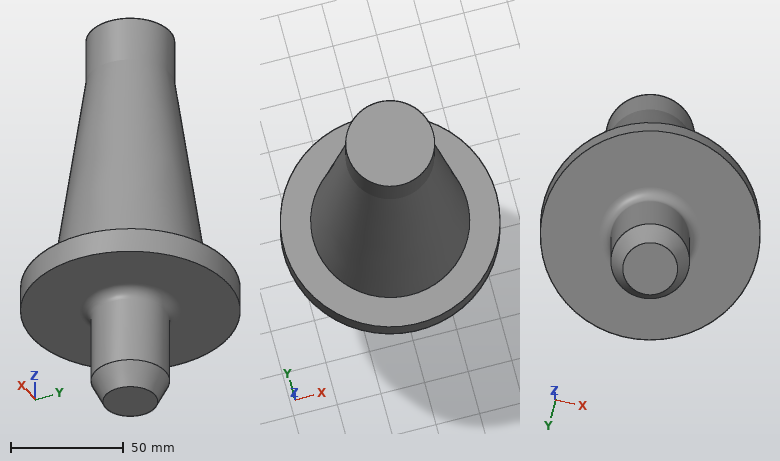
import cadquery as cq

total_height = 189.8
flange_diameter = 97.5
flange_thickness = 12.0

spigot_diameter = 35.0
spigot_length = 47.8
tip_diameter = 24.3
tip_length = 10.8
root_fillet_radius = 5.0

cone_base_diameter = 70.6
cap_diameter = 39.5
cap_length = 22.0

flange_bottom = spigot_length
flange_top = flange_bottom + flange_thickness
cap_bottom = total_height - cap_length

profile = (
    cq.Workplane("XZ")
    .moveTo(0, 0)
    .lineTo(tip_diameter / 2, 0)
    .lineTo(spigot_diameter / 2, tip_length)
    .lineTo(spigot_diameter / 2, flange_bottom - root_fillet_radius)
    .radiusArc((spigot_diameter / 2 + root_fillet_radius, flange_bottom), root_fillet_radius)
    .lineTo(flange_diameter / 2, flange_bottom)
    .lineTo(flange_diameter / 2, flange_top)
    .lineTo(cone_base_diameter / 2, flange_top)
    .lineTo(cap_diameter / 2, cap_bottom)
    .lineTo(cap_diameter / 2, total_height)
    .lineTo(0, total_height)
    .close()
)

result = profile.revolve(360, (0, 0, 0), (0, 1, 0))